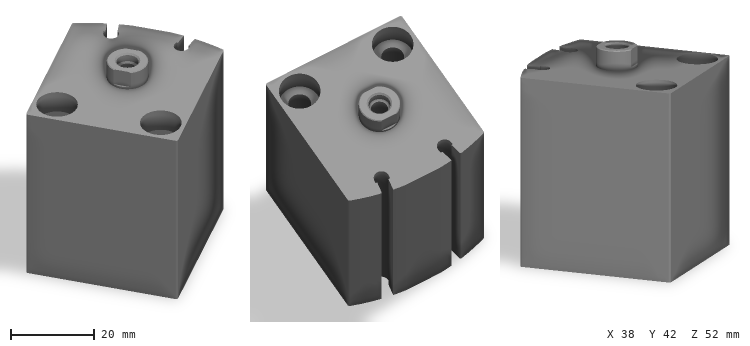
import cadquery as cq
import math

housing_width = 38.0
housing_length = 42.0
housing_height = 47.0
front_y = -21.6
back_y = front_y + housing_length
back_radius = 55.0
back_flat_depth = 0.2
corner_radius = 0.5

slot_angle = 10.0
slot_round_distance = 50.85
slot_round_diameter = 3.75
slot_neck_width = 2.85
slot_shoulder = 0.9
slot_mouth_fillet = 0.3

mount_spacing = 26.0
mount_y = -15.55
mount_diameter = 5.5
counterbore_diameter = 10.0
counterbore_depth = 5.7

rod_diameter = 10.0
rod_projection = 52.0 - housing_height
rod_seat_depth = 10.4
rod_edge_chamfer = 0.2
flat_spacing = 9.0
flat_start = 0.6

mouth_diameter = 6.15
thread_diameter = 5.3
thread_depth = 2.2
drill_diameter = 4.15
drill_depth = 7.8
step_drop = 0.3
drill_tip_angle = 118.0

crown_top_y = back_y + back_flat_depth
crown_center_y = crown_top_y - back_radius
rod_seat_z = housing_height - rod_seat_depth
rod_top_z = housing_height + rod_projection


def housing_block():
    half_width = housing_width / 2
    side_end_y = crown_center_y + math.sqrt(back_radius**2 - half_width**2)
    block = (
        cq.Workplane("XY")
        .moveTo(-half_width, front_y)
        .lineTo(half_width, front_y)
        .lineTo(half_width, side_end_y)
        .threePointArc((0, crown_top_y), (-half_width, side_end_y))
        .close()
        .extrude(housing_height)
    )
    crown_cap = (
        cq.Workplane("XY", origin=(0, back_y, 0))
        .rect(housing_width, 2 * back_flat_depth)
        .extrude(housing_height)
        .translate((0, back_flat_depth, 0))
    )
    block = block.cut(crown_cap)
    return block.edges("|Z and (<X or >X)").fillet(corner_radius)


def keyhole_slot(angle):
    """Through slot along the radial line turned by angle from +Y."""
    round_radius = slot_round_diameter / 2
    neck_half = slot_neck_width / 2
    round_y = crown_center_y + slot_round_distance
    shoulder_y = round_y + slot_shoulder
    slot = (
        cq.Workplane("XY")
        .moveTo(-round_radius, round_y)
        .threePointArc((0, round_y - round_radius), (round_radius, round_y))
        .lineTo(round_radius, shoulder_y)
        .lineTo(neck_half, shoulder_y)
        .lineTo(neck_half, back_y + round_radius)
        .lineTo(-neck_half, back_y + round_radius)
        .lineTo(-neck_half, shoulder_y)
        .lineTo(-round_radius, shoulder_y)
        .close()
        .extrude(housing_height)
    )
    return slot.rotate((0, crown_center_y, 0), (0, crown_center_y, 1), angle)


def round_slot_mouths(block):
    """Round the outer lip of each slot where it meets the crowned face."""
    lip_angle = math.radians(slot_angle) + math.asin(slot_neck_width / 2 / back_radius)
    lip_x = back_radius * math.sin(lip_angle)
    lip_y = crown_center_y + back_radius * math.cos(lip_angle)
    for side in (-1, 1):
        lip = cq.selectors.NearestToPointSelector((side * lip_x, lip_y, housing_height / 2))
        block = block.edges("|Z").edges(lip).fillet(slot_mouth_fillet)
    return block


def make_housing():
    block = housing_block()
    for side in (-1, 1):
        block = block.cut(keyhole_slot(side * slot_angle))
    block = round_slot_mouths(block)
    block = (
        block.faces(">Z")
        .workplane(origin=(0, 0, housing_height))
        .pushPoints([(-mount_spacing / 2, mount_y), (mount_spacing / 2, mount_y)])
        .cboreHole(mount_diameter, counterbore_diameter, counterbore_depth)
    )
    rod_seat = (
        cq.Workplane("XY", origin=(0, 0, rod_seat_z))
        .circle(rod_diameter / 2)
        .extrude(rod_seat_depth)
    )
    return block.cut(rod_seat)


def rod_hole():
    """Chamfered, stepped blind hole with a conical end, revolved about Z."""
    mouth_radius = mouth_diameter / 2
    thread_radius = thread_diameter / 2
    drill_radius = drill_diameter / 2
    thread_end_z = rod_top_z - thread_depth
    drill_end_z = rod_top_z - drill_depth
    tip_length = drill_radius / math.tan(math.radians(drill_tip_angle / 2))
    return (
        cq.Workplane("XZ")
        .moveTo(0, rod_top_z)
        .lineTo(mouth_radius, rod_top_z)
        .lineTo(thread_radius, rod_top_z - (mouth_radius - thread_radius))
        .lineTo(thread_radius, thread_end_z)
        .lineTo(drill_radius, thread_end_z - step_drop)
        .lineTo(drill_radius, drill_end_z)
        .lineTo(0, drill_end_z - tip_length)
        .close()
        .revolve(360, (0, 0, 0), (0, 1, 0))
    )


def make_rod():
    rod = (
        cq.Workplane("XY", origin=(0, 0, rod_seat_z))
        .circle(rod_diameter / 2)
        .extrude(rod_seat_depth + rod_projection)
        .faces(">Z")
        .chamfer(rod_edge_chamfer)
    )
    flat_cutters = (
        cq.Workplane("XY", origin=(0, 0, housing_height + flat_start))
        .rect(2 * rod_diameter, 2 * rod_diameter)
        .rect(2 * rod_diameter, flat_spacing)
        .extrude(rod_projection)
    )
    return rod.cut(flat_cutters).cut(rod_hole())


housing = make_housing()
rod = make_rod()
result = cq.Compound.makeCompound([housing.val(), rod.val()])